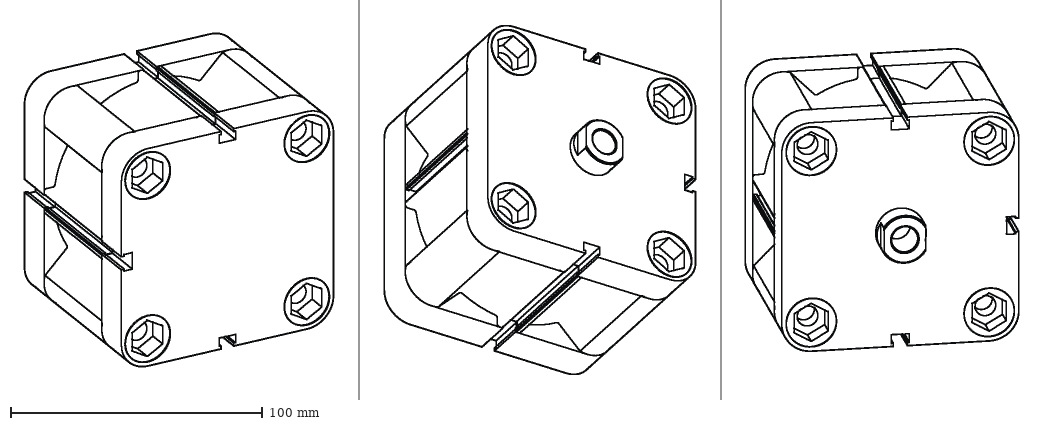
import cadquery as cq
import math

SIDE = 96.0
HALF = SIDE / 2
BODY_LENGTH = 81.5
CAP_THICKNESS = 16.5
BARREL_LENGTH = BODY_LENGTH - 2 * CAP_THICKNESS

BOLT_OFFSET = 36.0
CORNER_RADIUS = HALF - BOLT_OFFSET
BOLT_HOLE_DIAMETER = 8.4
RECESS_DIAMETER = 20.4
RECESS_DEPTH = 0.5
SOCKET_ACROSS_FLATS = 13.8
SOCKET_DEPTH = 8.6
HEX_SIDES = 6

SLOT_DEPTH = 5.0
CAP_LIP_HEIGHT = 1.3
BARREL_LIP_HEIGHT = 1.7
CAP_NECK_WIDTH = 5.8
CAP_UNDERCUT_WIDTH = 7.3
BARREL_NECK_WIDTH = 5.6
BARREL_UNDERCUT_WIDTH = 6.7
BARREL_MOUTH_CHAMFER = 0.5

TUBE_RADIUS = 43.5
RAIL_WIDTH = 10.9
RAIL_TOP_RADIUS = 1.2
RAIL_ROOT_RADIUS = 1.1
WEB_EDGE = 32.7
WEB_ROOT_RADIUS = 1.0

ROD_DIAMETER = 20.0
ROD_PROTRUSION = 10.0
ROD_TIP_CHAMFER = 0.5
ROD_LENGTH = ROD_PROTRUSION + CAP_THICKNESS
FLATS_WIDTH = 16.9
FLATS_LENGTH = 6.7
FLATS_SHOULDER_RUN = 0.4
ROD_HOLE_DIAMETER = 10.6
ROD_HOLE_MOUTH_DIAMETER = 11.5
ROD_HOLE_DEPTH = 17.3
DRILL_POINT_ANGLE = 118.0

BOLT_POINTS = [(y, z) for y in (-BOLT_OFFSET, BOLT_OFFSET) for z in (-BOLT_OFFSET, BOLT_OFFSET)]

QUARTER_TURNS = (0, 90, 180, 270)
CAP_SLOT_TURNS = (0, 90, 180)
X_AXIS = ((0, 0, 0), (1, 0, 0))


def section_plane(x):
    """Plane across the X axis, with local axes along Y and Z."""
    return cq.Workplane("YZ", origin=(x, 0, 0))


def slot_cutter(x, length, neck_width, undercut_width, lip_height):
    """T-shaped slot running along X in the +Z side."""
    floor_z = HALF - SLOT_DEPTH
    neck = section_plane(x).center(0, floor_z + SLOT_DEPTH / 2).rect(neck_width, SLOT_DEPTH).extrude(length)
    undercut_height = SLOT_DEPTH - lip_height
    undercut = (
        section_plane(x)
        .center(0, floor_z + undercut_height / 2)
        .rect(undercut_width, undercut_height)
        .extrude(length)
    )
    return neck.union(undercut)


def make_cap():
    """Front cap: outer face at x = 0, inner face at x = CAP_THICKNESS."""
    cap = section_plane(0).rect(SIDE, SIDE).extrude(CAP_THICKNESS).edges("|X").fillet(CORNER_RADIUS)
    slot = slot_cutter(0, CAP_THICKNESS, CAP_NECK_WIDTH, CAP_UNDERCUT_WIDTH, CAP_LIP_HEIGHT)
    for turn in CAP_SLOT_TURNS:
        cap = cap.cut(slot.rotate(*X_AXIS, turn))

    recesses = section_plane(0).pushPoints(BOLT_POINTS).circle(RECESS_DIAMETER / 2).extrude(RECESS_DEPTH)
    across_corners = SOCKET_ACROSS_FLATS / math.cos(math.pi / HEX_SIDES)
    socket = section_plane(0).polygon(HEX_SIDES, across_corners).extrude(SOCKET_DEPTH)
    socket = socket.rotate(*X_AXIS, 90)
    holes = section_plane(0).pushPoints(BOLT_POINTS).circle(BOLT_HOLE_DIAMETER / 2).extrude(CAP_THICKNESS)
    cap = cap.cut(recesses).cut(holes)
    for y, z in BOLT_POINTS:
        cap = cap.cut(socket.translate((0, y, z)))
    return cap


def make_front_cap():
    """Cap with a bore for the piston rod."""
    bore = section_plane(0).circle(ROD_DIAMETER / 2).extrude(CAP_THICKNESS)
    return make_cap().cut(bore)


def make_rear_cap():
    """Mirror image of the front cap, without the rod bore."""
    return make_cap().mirror("YZ").translate((BODY_LENGTH, 0, 0))


def turned(point, turn):
    """Section point (y, z) turned counterclockwise about the X axis by whole degrees."""
    angle = math.radians(turn)
    y, z = point
    return (y * math.cos(angle) - z * math.sin(angle), y * math.sin(angle) + z * math.cos(angle))


def swapped(point):
    """Section point mirrored in the diagonal through its corner lobe."""
    y, z = point
    return (z, y)


def edges_along_barrel(barrel, points):
    """Lengthwise barrel edges at the given section points and their quarter turns."""
    mid_x = CAP_THICKNESS + BARREL_LENGTH / 2
    spots = [turned(point, turn) for point in points for turn in QUARTER_TURNS]
    edges = [barrel.edges(cq.NearestToPointSelector((mid_x, *spot))).val() for spot in spots]
    return barrel.newObject(edges)


def make_barrel():
    """Extruded barrel: tube, four corner lobes and four slotted rails."""
    rail_y = RAIL_WIDTH / 2
    rail_top = (rail_y, HALF)
    rail_foot = (rail_y, math.sqrt(TUBE_RADIUS**2 - rail_y**2))
    lobe_end = (WEB_EDGE, BOLT_OFFSET + math.sqrt(CORNER_RADIUS**2 - (BOLT_OFFSET - WEB_EDGE) ** 2))
    web_fall = lobe_end[1] - lobe_end[0]
    web_foot_y = (math.sqrt(2 * TUBE_RADIUS**2 - web_fall**2) - web_fall) / 2
    web_foot = (web_foot_y, web_foot_y + web_fall)
    mid_angle = (math.atan2(rail_foot[1], rail_foot[0]) + math.atan2(web_foot[1], web_foot[0])) / 2
    tube_mid = (TUBE_RADIUS * math.cos(mid_angle), TUBE_RADIUS * math.sin(mid_angle))
    lobe_crest = BOLT_OFFSET + CORNER_RADIUS * math.sqrt(0.5)
    lobe_mid = (lobe_crest, lobe_crest)

    outline = section_plane(CAP_THICKNESS).moveTo(-rail_y, HALF)
    for turn in QUARTER_TURNS:
        outline = (
            outline.lineTo(*turned(rail_top, -turn))
            .lineTo(*turned(rail_foot, -turn))
            .threePointArc(turned(tube_mid, -turn), turned(web_foot, -turn))
            .lineTo(*turned(lobe_end, -turn))
            .threePointArc(turned(lobe_mid, -turn), turned(swapped(lobe_end), -turn))
            .lineTo(*turned(swapped(web_foot), -turn))
            .threePointArc(turned(swapped(tube_mid), -turn), turned(swapped(rail_foot), -turn))
            .lineTo(*turned(swapped(rail_top), -turn))
        )
    barrel = outline.close().extrude(BARREL_LENGTH)

    rounded = [(rail_top, RAIL_TOP_RADIUS), (rail_foot, RAIL_ROOT_RADIUS), (web_foot, WEB_ROOT_RADIUS)]
    for corner, radius in rounded:
        barrel = edges_along_barrel(barrel, [corner, swapped(corner)]).fillet(radius)

    slot = slot_cutter(
        CAP_THICKNESS, BARREL_LENGTH, BARREL_NECK_WIDTH, BARREL_UNDERCUT_WIDTH, BARREL_LIP_HEIGHT
    )
    for turn in QUARTER_TURNS:
        barrel = barrel.cut(slot.rotate(*X_AXIS, turn))
    neck_y = BARREL_NECK_WIDTH / 2
    barrel = edges_along_barrel(barrel, [(-neck_y, HALF), (neck_y, HALF)]).chamfer(BARREL_MOUTH_CHAMFER)
    holes = section_plane(CAP_THICKNESS).pushPoints(BOLT_POINTS).circle(BOLT_HOLE_DIAMETER / 2)
    return barrel.cut(holes.extrude(BARREL_LENGTH))


def make_rod():
    """Piston rod with wrench flats and a blind drilled hole in its tip."""
    tip_x = -ROD_PROTRUSION
    rod = section_plane(tip_x).circle(ROD_DIAMETER / 2).extrude(ROD_LENGTH)
    rod = rod.faces("<X").chamfer(ROD_TIP_CHAMFER)
    flat_end_x = tip_x + FLATS_LENGTH
    flat_cut = (
        cq.Workplane("XY")
        .polyline([
            (tip_x, FLATS_WIDTH / 2),
            (flat_end_x, FLATS_WIDTH / 2),
            (flat_end_x + FLATS_SHOULDER_RUN, ROD_DIAMETER / 2),
            (tip_x, ROD_DIAMETER / 2),
        ])
        .close()
        .extrude(ROD_DIAMETER, both=True)
    )
    rod = rod.cut(flat_cut).cut(flat_cut.mirror("XZ"))

    hole_radius = ROD_HOLE_DIAMETER / 2
    mouth_radius = ROD_HOLE_MOUTH_DIAMETER / 2
    point_length = hole_radius / math.tan(math.radians(DRILL_POINT_ANGLE / 2))
    hole = (
        cq.Workplane("XY", origin=(tip_x, 0, 0))
        .polyline([
            (0, 0),
            (0, mouth_radius),
            (mouth_radius - hole_radius, hole_radius),
            (ROD_HOLE_DEPTH, hole_radius),
            (ROD_HOLE_DEPTH + point_length, 0),
        ])
        .close()
        .revolve(360, (0, 0, 0), (1, 0, 0))
    )
    return rod.cut(hole)


front_cap = make_front_cap()
barrel = make_barrel()
rear_cap = make_rear_cap()
rod = make_rod()

result = cq.Compound.makeCompound([front_cap.val(), barrel.val(), rear_cap.val(), rod.val()])